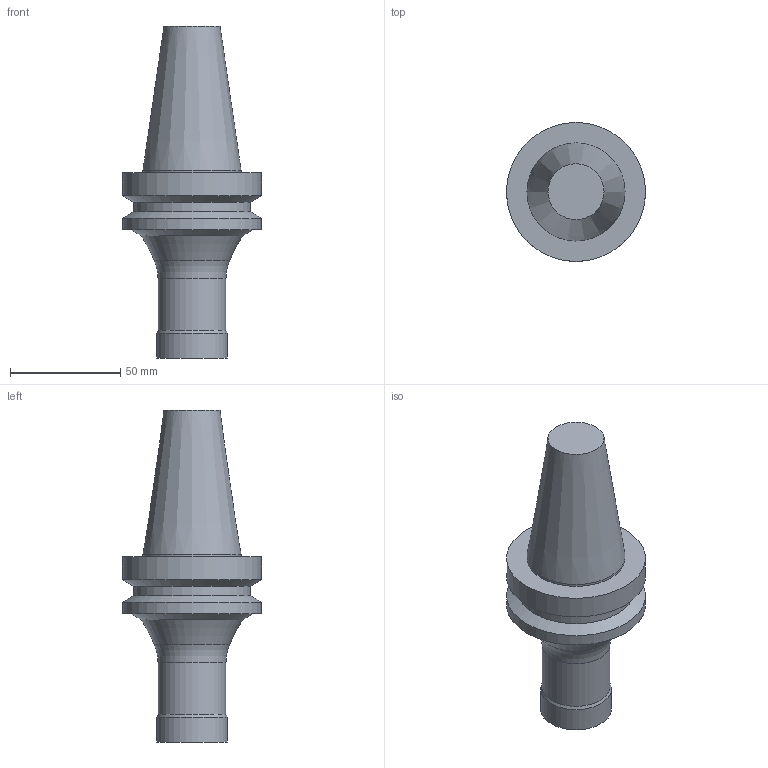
import cadquery as cq
import math


gauge_diameter = 44.45
taper_length = 65.4
taper_ratio = 7 / 24
gauge_band_height = 1.0

flange_diameter = 63.0
flange_bottom_z = -27.0
groove_diameter = 53.0
groove_center_z = -16.6
groove_mouth_width = 10.4
groove_floor_width = 4.2

cone_top_diameter = 55
cone_height = 2.6
cone_slope = math.radians(30)
flare_radius = 20
flare_height = 8.1

neck_diameter = 30.8
neck_top_z = -48.8
collar_diameter = 32.0
nose_z = -85.0
collar_height = 11.2
collar_chamfer_height = 1.4

gauge_radius = gauge_diameter / 2
taper_tip_radius = gauge_radius - taper_length * taper_ratio / 2
flange_outer_radius = flange_diameter / 2
groove_floor_radius = groove_diameter / 2
cone_top_radius = cone_top_diameter / 2
cone_bottom_radius = cone_top_radius - cone_height / math.tan(cone_slope)
cone_bottom_z = flange_bottom_z - cone_height
neck_radius = neck_diameter / 2
collar_radius = collar_diameter / 2

groove_mouth_top_z = groove_center_z + groove_mouth_width / 2
groove_mouth_bottom_z = groove_center_z - groove_mouth_width / 2
groove_floor_top_z = groove_center_z + groove_floor_width / 2
groove_floor_bottom_z = groove_center_z - groove_floor_width / 2
collar_top_z = nose_z + collar_height


def nose_and_neck(profile):
    """Collar with its small chamfer, then the straight neck."""
    return (
        profile.lineTo(collar_radius, nose_z)
        .lineTo(collar_radius, collar_top_z)
        .lineTo(neck_radius, collar_top_z + collar_chamfer_height)
        .lineTo(neck_radius, neck_top_z)
    )


def flared_shoulder(profile):
    """Arc tangent to the neck, then a gentler tangent arc up to the cone."""
    flare_angle = math.asin(flare_height / flare_radius)
    flare_top_radius = neck_radius + flare_radius * (1 - math.cos(flare_angle))
    flare_end = (flare_top_radius, neck_top_z + flare_height)
    return (
        profile.tangentArcPoint(flare_end, relative=False)
        .tangentArcPoint((cone_bottom_radius, cone_bottom_z), relative=False)
    )


def grooved_flange(profile):
    """Cone under the flange, the flange and its V-shaped gripper groove."""
    return (
        profile.lineTo(cone_top_radius, flange_bottom_z)
        .lineTo(flange_outer_radius, flange_bottom_z)
        .lineTo(flange_outer_radius, groove_mouth_bottom_z)
        .lineTo(groove_floor_radius, groove_floor_bottom_z)
        .lineTo(groove_floor_radius, groove_floor_top_z)
        .lineTo(flange_outer_radius, groove_mouth_top_z)
        .lineTo(flange_outer_radius, -gauge_band_height)
    )


def taper(profile):
    """Cylindrical band up to the gauge plane, then the taper."""
    return (
        profile.lineTo(gauge_radius, -gauge_band_height)
        .lineTo(gauge_radius, 0)
        .lineTo(taper_tip_radius, taper_length)
        .lineTo(0, taper_length)
    )


half_profile = cq.Workplane("XZ").moveTo(0, nose_z)
for section in (nose_and_neck, flared_shoulder, grooved_flange, taper):
    half_profile = section(half_profile)

result = half_profile.close().revolve(360, (0, 0, 0), (0, 1, 0))